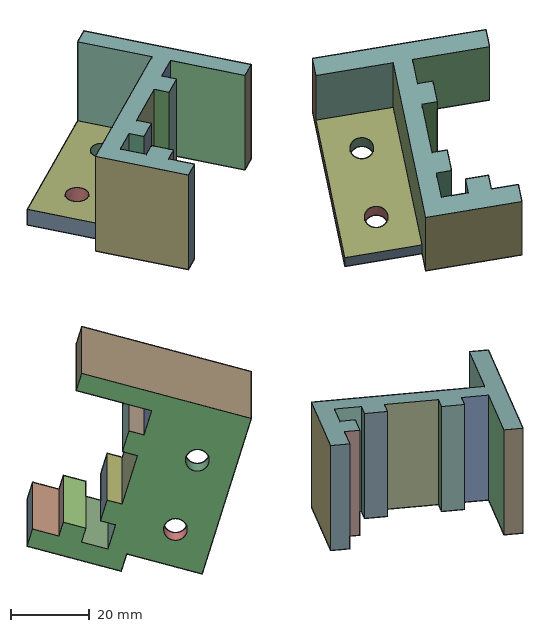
import cadquery as cq

length_x = 45.0
length_y = 50.0
height = 30.0

wall = 5.0
base_width = 20.0

hole_diameter = 6.0
hole_pitch = 20.0
key_width = 6.0
key_height = 4.0

cross_wall_inner_x = base_width + wall
channel_depth = length_x - cross_wall_inner_x
channel_width = length_y - 2 * wall
channel_center_y = wall + channel_width / 2
station_ys = [channel_center_y - hole_pitch / 2, channel_center_y + hole_pitch / 2]


def block(x, y, size_x, size_y, size_z):
    """Box with its lowest corner at (x, y, 0)."""
    return cq.Workplane("XY").box(size_x, size_y, size_z, centered=False).translate((x, y, 0))


def make_walls():
    """Three full-height walls forming a channel open toward +X."""
    back = block(0, length_y - wall, length_x, wall, height)
    cross = block(base_width, 0, wall, length_y, height)
    front = block(base_width, 0, length_x - base_width, wall, height)
    return back.union(cross).union(front)


def make_base():
    """Mounting plate outside the channel, drilled through on each station."""
    plate = block(0, wall, base_width, channel_width, wall)
    holes = (
        cq.Workplane("XY")
        .pushPoints([(base_width / 2, y) for y in station_ys])
        .circle(hole_diameter / 2)
        .extrude(wall)
    )
    return plate.cut(holes)


def make_keys():
    """Full-height keys: one on the front wall, one per station on the cross wall."""
    front_key_x = cross_wall_inner_x + (channel_depth - key_width) / 2
    keys = block(front_key_x, wall, key_width, key_height, height)
    for y in station_ys:
        key = block(cross_wall_inner_x, y - key_width / 2, key_height, key_width, height)
        keys = keys.union(key)
    return keys


result = make_walls().union(make_base()).union(make_keys())